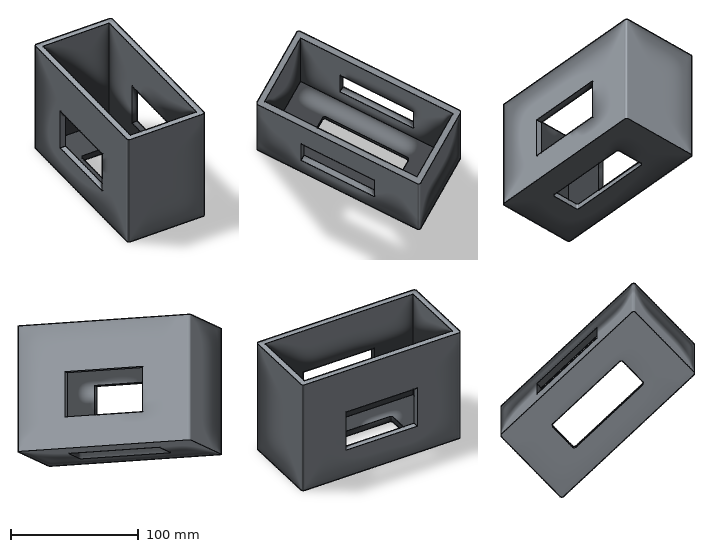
import cadquery as cq

length = 145.0
width = 70.0
height = 100.0
corner_radius = 2.0
wall = 5.0
floor = 5.0

window_length = 65.0
window_height = 36.0
window_sill = 25.0

floor_opening_length = 76.0
floor_opening_width = 26.0
floor_opening_radius = 2.0


def make_shell():
    """Box with rounded vertical edges, hollowed from the top with sharp inner corners."""
    outer = (
        cq.Workplane("XY")
        .box(length, width, height, centered=(True, True, False))
        .edges("|Z")
        .fillet(corner_radius)
    )
    cavity = (
        cq.Workplane("XY")
        .workplane(offset=floor)
        .box(length - 2 * wall, width - 2 * wall, height - floor, centered=(True, True, False))
    )
    return outer.cut(cavity)


def make_window_cutter():
    """Bar along Y that opens the front and back walls."""
    return (
        cq.Workplane("XY")
        .workplane(offset=window_sill)
        .box(window_length, width, window_height, centered=(True, True, False))
    )


def make_floor_cutter():
    """Rounded block that opens the middle of the floor."""
    return (
        cq.Workplane("XY")
        .box(floor_opening_length, floor_opening_width, floor, centered=(True, True, False))
        .edges("|Z")
        .fillet(floor_opening_radius)
    )


result = make_shell().cut(make_window_cutter()).cut(make_floor_cutter())